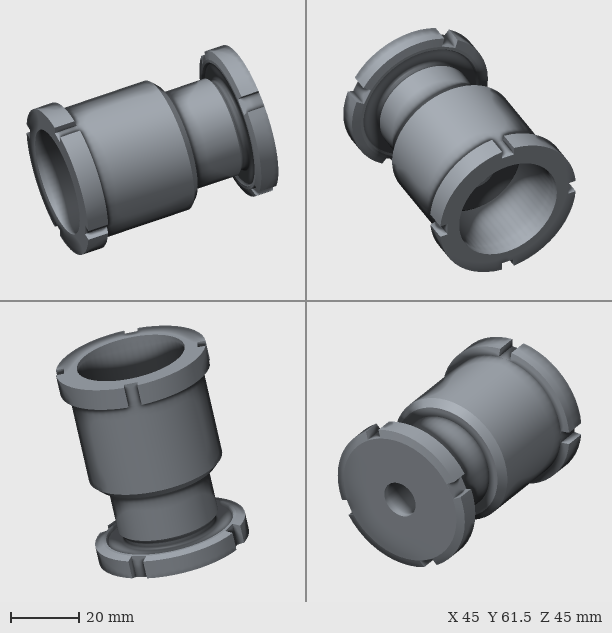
import cadquery as cq

total_length = 61.5
flange_radius = 22.5
flange_chamfer_length = 0.7
slot_count = 4
slot_depth = 2.5
shaft_radius = 15.0

sleeve_length = 37.0
sleeve_radius = 20.0
sleeve_chamfer = 2.1
sleeve_flange_length = 7.0
sleeve_slot_width = 3.95
bore_radius = 16.15
bore_depth = 30.0

stem_flange_length = 6.8
stem_slot_angle = 27.4
stem_slot_width = 5.0
shaft_front = 19.4
shaft_chamfer = 1.15
undercut_radius = 13.85
undercut_length = 1.35
undercut_fillet = 0.8
recess_radius = 19.05
recess_depth = 0.75
recess_chamfer = 0.5
hole_radius = 5.55
hole_chamfer = 0.5

corner_margin = 0.05
middle = total_length / 2
flange_edge_radius = flange_radius - slot_depth
stem_flange_front = total_length - stem_flange_length
shaft_rear = stem_flange_front - undercut_length


def turned(profile):
    """Revolve a closed (radius, y) outline about the Y axis."""
    return cq.Workplane("XY").polyline(profile).close().revolve(360, (0, 0, 0), (0, 1, 0))


def cut_slots(body, flange_front, flange_length, slot_width, start_angle):
    """Cut evenly spaced spanner slots through a flange rim."""
    for index in range(slot_count):
        slot = (
            cq.Workplane("XY")
            .box(2 * slot_depth, flange_length, slot_width)
            .translate((flange_radius, flange_front + flange_length / 2, 0))
            .rotate((0, 0, 0), (0, 1, 0), start_angle + index * 360 / slot_count)
        )
        body = body.cut(slot)
    return body


def make_sleeve():
    """Flanged sleeve with a wide front bore and a rear hole that fits the shaft."""
    body = turned([
        (bore_radius, 0),
        (flange_radius, 0),
        (flange_radius, sleeve_flange_length - flange_chamfer_length),
        (sleeve_radius, sleeve_flange_length),
        (sleeve_radius, sleeve_length - sleeve_chamfer),
        (sleeve_radius - sleeve_chamfer, sleeve_length),
        (shaft_radius, sleeve_length),
        (shaft_radius, bore_depth),
        (bore_radius, bore_depth),
    ])
    return cut_slots(body, 0, sleeve_flange_length, sleeve_slot_width, 0)


def make_stem():
    """Hollow shaft with an undercut in front of its rear flange."""
    recess_floor = stem_flange_front + recess_depth
    body = turned([
        (hole_radius + hole_chamfer, shaft_front),
        (shaft_radius - shaft_chamfer, shaft_front),
        (shaft_radius, shaft_front + shaft_chamfer),
        (shaft_radius, shaft_rear - shaft_chamfer),
        (undercut_radius, shaft_rear),
        (undercut_radius, recess_floor),
        (recess_radius - recess_chamfer, recess_floor),
        (recess_radius, stem_flange_front),
        (flange_edge_radius, stem_flange_front),
        (flange_radius, stem_flange_front + flange_chamfer_length),
        (flange_radius, total_length - flange_chamfer_length),
        (flange_edge_radius, total_length),
        (hole_radius, total_length),
        (hole_radius, shaft_front + hole_chamfer),
    ])
    for corner_y in (shaft_rear, recess_floor):
        corner = cq.selectors.BoxSelector(
            (-shaft_radius, corner_y - corner_margin, -shaft_radius),
            (shaft_radius, corner_y + corner_margin, shaft_radius),
            boundingbox=True,
        )
        body = body.edges(corner).edges("%CIRCLE").fillet(undercut_fillet)
    return cut_slots(body, stem_flange_front, stem_flange_length, stem_slot_width, stem_slot_angle)


sleeve = make_sleeve().translate((0, -middle, 0))
stem = make_stem().translate((0, -middle, 0))

result = cq.Compound.makeCompound([sleeve.val(), stem.val()])